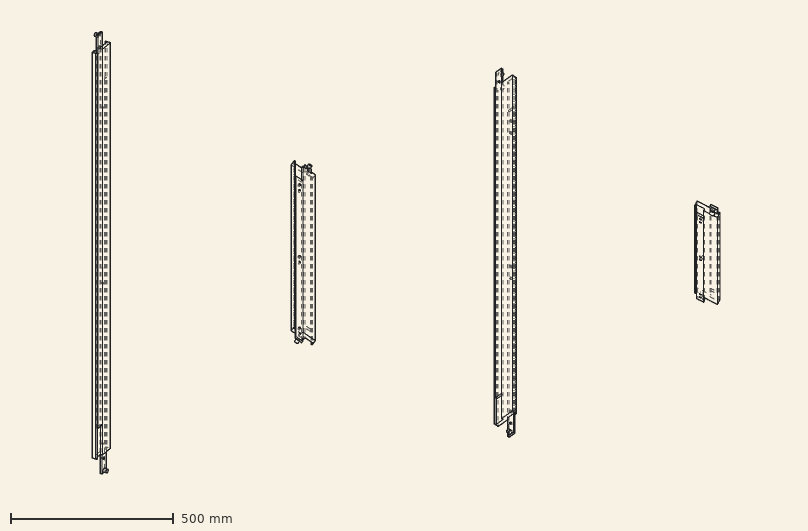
import cadquery as cq

LENGTH = 1591.0
WIDTH = 80.0
DEPTH = 17.0

BAR_WIDTH = 25.0
BAR_OFFSET = 20.0
BAR_THICKNESS = 6.0
LOWER_BAR_TOP = 608.0
UPPER_BAR_BOTTOM = -LOWER_BAR_TOP
PEG_DIAMETER = 13.0
PEG_FROM_END = 8.0

RAIL_BOTTOM = -716.0
RAIL_TOP = 733.0
LIP = 3.0
CHANNEL_START = BAR_OFFSET - BAR_WIDTH / 2
CHANNEL_DEPTH = BAR_THICKNESS

HOLE_DIAMETER = 6.0
HOLE_OFFSET = 19.0
LOWER_HOLE_PAIRS = (-719.0, -94.0, 533.0)
PAIR_SPACING = 51.0
UPPER_HOLE_Z = 746.0
NOTCH_DIAMETER = 16.0
NOTCH_Z = 730.0


def box(x_min, x_max, y_min, y_max, z_min, z_max):
    """Box between opposite corners."""
    size = (x_max - x_min, y_max - y_min, z_max - z_min)
    return cq.Workplane("XY").box(*size, centered=False).translate((x_min, y_min, z_min))


def cross_hole(diameter, y, z):
    """Round cutter along X through the whole depth."""
    return cq.Workplane("YZ").center(y, z).circle(diameter / 2).extrude(DEPTH, both=True)


def make_peg(y, z):
    """Round peg along X that fills the full depth."""
    peg = cq.Workplane("YZ").workplane(offset=-DEPTH / 2).center(y, z)
    return peg.circle(PEG_DIAMETER / 2).extrude(DEPTH)


def make_rail():
    """Solid strip with a full-length channel on each side and a notch at the top."""
    x = DEPTH / 2
    y = WIDTH / 2
    rail = box(-x, x, -y, y, RAIL_BOTTOM, RAIL_TOP)
    channel_end = y - LIP
    rail = rail.cut(box(-x, -x + CHANNEL_DEPTH, CHANNEL_START, channel_end, RAIL_BOTTOM, RAIL_TOP))
    rail = rail.cut(box(x - CHANNEL_DEPTH, x, -channel_end, -CHANNEL_START, RAIL_BOTTOM, RAIL_TOP))
    return rail.cut(cross_hole(NOTCH_DIAMETER, -HOLE_OFFSET, NOTCH_Z))


def make_lower_bar():
    """Bar on the -X side, with paired holes and a round peg reaching toward +X at its foot."""
    x = DEPTH / 2
    y_min = BAR_OFFSET - BAR_WIDTH / 2
    y_max = BAR_OFFSET + BAR_WIDTH / 2
    foot = -LENGTH / 2
    bar = box(-x, -x + BAR_THICKNESS, y_min, y_max, foot, LOWER_BAR_TOP)
    bar = bar.union(make_peg(BAR_OFFSET, foot + PEG_FROM_END))
    for pair_center in LOWER_HOLE_PAIRS:
        for side in (-1, 1):
            z = pair_center + side * PAIR_SPACING / 2
            bar = bar.cut(cross_hole(HOLE_DIAMETER, HOLE_OFFSET, z))
    return bar


def make_upper_bar():
    """Bar on the +X side, with one hole and a round peg reaching toward -X at its head."""
    x = DEPTH / 2
    y_min = -BAR_OFFSET - BAR_WIDTH / 2
    y_max = -BAR_OFFSET + BAR_WIDTH / 2
    head = LENGTH / 2
    bar = box(x - BAR_THICKNESS, x, y_min, y_max, UPPER_BAR_BOTTOM, head)
    bar = bar.union(make_peg(-BAR_OFFSET, head - PEG_FROM_END))
    return bar.cut(cross_hole(HOLE_DIAMETER, -HOLE_OFFSET, UPPER_HOLE_Z))


rail = make_rail()
lower_bar = make_lower_bar()
upper_bar = make_upper_bar()

result = cq.Compound.makeCompound([rail.val(), lower_bar.val(), upper_bar.val()])